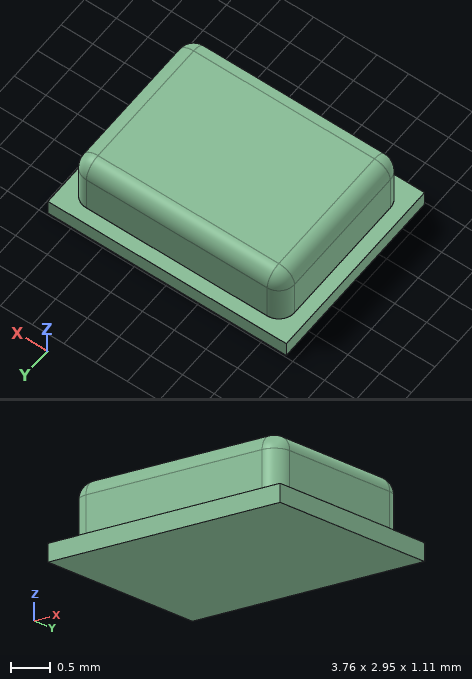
import cadquery as cq

base_length = 3.76
base_width = 2.95
base_thickness = 0.255

total_height = 1.11
base_margin = 0.205
lid_radius = 0.25
lid_length = base_length - 2 * base_margin
lid_width = base_width - 2 * base_margin
lid_height = total_height - base_thickness


def make_base():
    """Plain rectangular plate."""
    return cq.Workplane("XY").box(base_length, base_width, base_thickness, centered=(True, True, False))


def make_lid():
    """Block with equally rounded upright corners and top edges."""
    block = (
        cq.Workplane("XY")
        .workplane(offset=base_thickness)
        .box(lid_length, lid_width, lid_height, centered=(True, True, False))
    )
    return block.edges("|Z or >Z").fillet(lid_radius)


base = make_base()
lid = make_lid()

result = cq.Compound.makeCompound([base.val(), lid.val()])